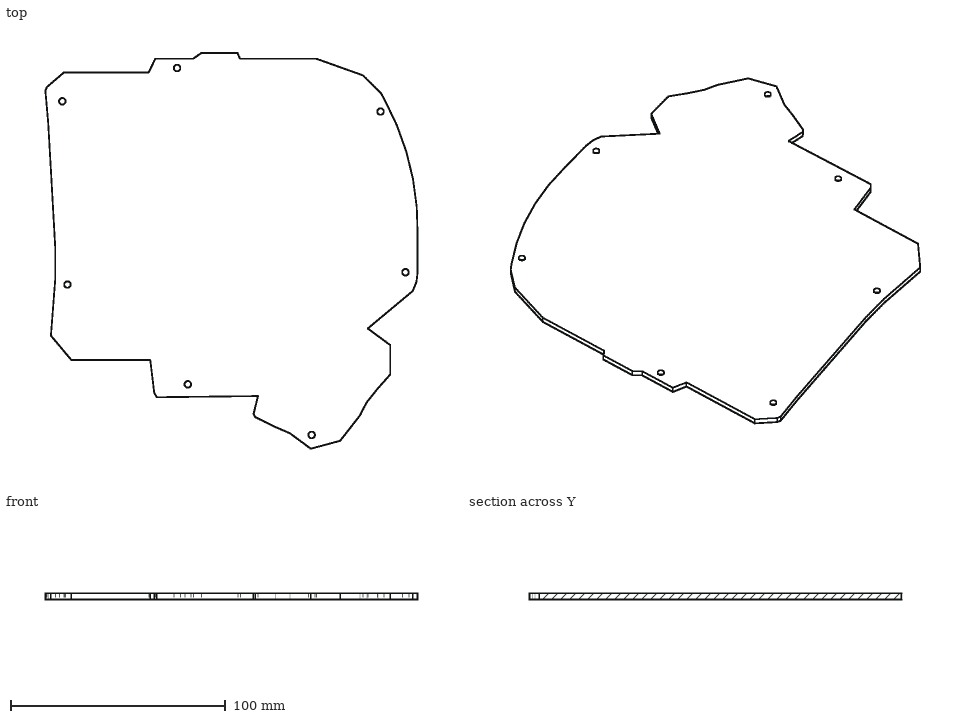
import cadquery as cq

plate_width = 173.3
plate_length = 184.2
plate_thickness = 3.0
hole_diameter = 3.0

left_shoulder_y = 175.2
upper_edge_y = 181.6
lower_left_edge_y = 41.3
thumb_right_x = 160.6

upper_edge = [
    (0.0, 166.7),
    (0.7, 168.4),
    (8.7, left_shoulder_y),
    (48.0, left_shoulder_y),
    (51.2, upper_edge_y),
    (68.9, upper_edge_y),
    (72.5, plate_length),
    (89.5, plate_length),
    (90.6, upper_edge_y),
    (126.0, upper_edge_y),
    (147.7, 173.9),
    (156.2, 165.6),
    (158.0, 162.3),
]

right_arc_middle = (168.0, 138.5)
right_arc_end = (plate_width, 99.5)

thumb_lobe = [
    (plate_width, 82.2),
    (172.8, 77.7),
    (171.1, 73.5),
    (150.1, 56.0),
    (thumb_right_x, 48.3),
    (thumb_right_x, 34.6),
    (154.7, 28.0),
    (149.5, 21.5),
    (146.5, 15.5),
    (137.2, 3.7),
    (123.6, 0.0),
    (113.8, 7.2),
    (107.0, 10.1),
    (97.6, 14.7),
    (96.9, 16.2),
    (99.0, 24.5),
]

lower_and_left_edge = [
    (52.0, 24.0),
    (50.7, 26.0),
    (48.8, lower_left_edge_y),
    (12.2, lower_left_edge_y),
    (2.5, 52.7),
    (4.6, 79.0),
    (4.6, 93.4),
    (2.5, 129.5),
    (1.3, 152.0),
]

hole_centres = [
    (8.0, 161.7),
    (61.3, 177.2),
    (156.0, 157.0),
    (167.6, 82.2),
    (124.0, 6.5),
    (66.3, 30.0),
    (10.3, 76.5),
]


def make_plate():
    """Flat plate with the irregular outline."""
    outline = cq.Workplane("XY").polyline(upper_edge)
    outline = outline.threePointArc(right_arc_middle, right_arc_end)
    for point in thumb_lobe + lower_and_left_edge:
        outline = outline.lineTo(*point)
    return outline.close().extrude(plate_thickness)


def make_holes():
    """Cylinders that cut the screw holes through the plate."""
    circles = cq.Workplane("XY").pushPoints(hole_centres).circle(hole_diameter / 2)
    return circles.extrude(plate_thickness)


result = make_plate().cut(make_holes())